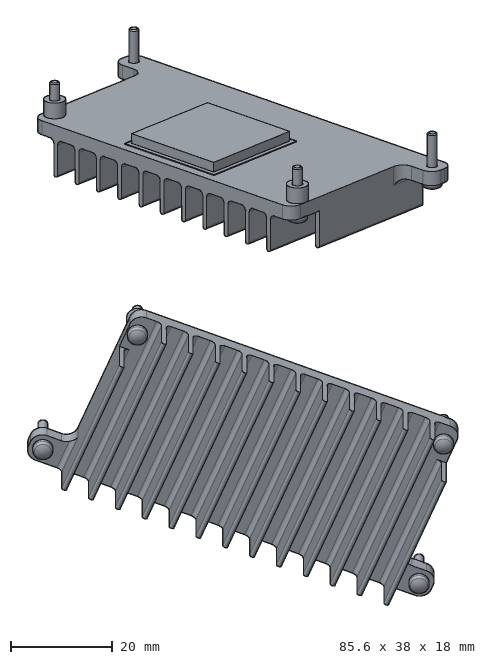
import cadquery as cq
import math

OVERALL_WIDTH = 85.6
DEPTH = 38.0
PLATE_THICKNESS = 3.0
TAB_DEPTH = 6.0
PLAN_RADIUS = 2.5

FIN_COUNT = 13
FIN_SPAN = 68.5
FIN_THICKNESS = 1.0
FIN_HEIGHT = 8.0
FIN_ROOT_RADIUS = 1.0
FIN_NOTCH_DEPTH = 8.0

LAND_SIZE = 24.0
LAND_HEIGHT = 0.2
PAD_SIZE = 22.0
PAD_THICKNESS = 2.05
PAD_CENTRE_Y = -5.0

SHANK_DIAMETER = 2.0
HOLE_DIAMETER = 2.1
SHANK_TIP_CHAMFER = 0.25
SHANK_PROTRUSION = 7.0
HEAD_DIAMETER = 4.0
HEAD_RIM_HEIGHT = 1.1
HEAD_HEIGHT = 1.8
HEAD_EDGE_RADIUS = 0.7
STANDOFF_DIAMETER = 4.4
STANDOFF_HEIGHT = 3.3
REAR_SCREW_X = 40.0
FRONT_SCREW_X = 32.5
SCREW_SPACING_Y = 31.0

FIN_PITCH = FIN_SPAN / (FIN_COUNT - 1)
BODY_WIDTH = FIN_SPAN + FIN_THICKNESS
REAR_SCREW_Y = (DEPTH - TAB_DEPTH) / 2
FRONT_SCREW_Y = REAR_SCREW_Y - SCREW_SPACING_Y
REAR_SCREWS = [(side * REAR_SCREW_X, REAR_SCREW_Y) for side in (-1, 1)]
FRONT_SCREWS = [(side * FRONT_SCREW_X, FRONT_SCREW_Y) for side in (-1, 1)]


def plan_prism(bottom_z, top_z):
    """Plate outline with every corner rounded, between two heights."""
    height = top_z - bottom_z
    body = cq.Workplane("XY", origin=(0, 0, bottom_z)).rect(BODY_WIDTH, DEPTH).extrude(height)
    tabs = (
        cq.Workplane("XY", origin=(0, (DEPTH - TAB_DEPTH) / 2, bottom_z))
        .rect(OVERALL_WIDTH, TAB_DEPTH)
        .extrude(height)
    )
    return body.union(tabs).edges("|Z").fillet(PLAN_RADIUS)


def make_fin(x):
    """One fin with a fully rounded tip and a concave flare on each side of its root."""
    half = FIN_THICKNESS / 2
    flare = half + FIN_ROOT_RADIUS
    root_mid = FIN_ROOT_RADIUS * (1 - math.sqrt(0.5))
    return (
        cq.Workplane("XZ", origin=(x, DEPTH / 2, 0))
        .moveTo(-flare, 0)
        .threePointArc((-half - root_mid, -root_mid), (-half, -FIN_ROOT_RADIUS))
        .lineTo(-half, half - FIN_HEIGHT)
        .threePointArc((0, -FIN_HEIGHT), (half, half - FIN_HEIGHT))
        .lineTo(half, -FIN_ROOT_RADIUS)
        .threePointArc((half + root_mid, -root_mid), (flare, 0))
        .close()
        .extrude(DEPTH)
    )


def make_outer_fin(side):
    """Outermost fin, cut short at the front and trimmed to the plate outline."""
    x = side * FIN_SPAN / 2
    notch = (
        cq.Workplane("XY", origin=(x, (FIN_NOTCH_DEPTH - DEPTH) / 2, -FIN_HEIGHT))
        .rect(FIN_PITCH, FIN_NOTCH_DEPTH)
        .extrude(FIN_HEIGHT)
    )
    return make_fin(x).cut(notch).intersect(plan_prism(-FIN_HEIGHT, 0))


def make_heatsink():
    """Finned plate with the land, the two standoffs and the four screw holes."""
    heatsink = plan_prism(0, PLATE_THICKNESS)
    for index in range(1, FIN_COUNT - 1):
        heatsink = heatsink.union(make_fin(index * FIN_PITCH - FIN_SPAN / 2))
    for side in (-1, 1):
        heatsink = heatsink.union(make_outer_fin(side))

    land = (
        cq.Workplane("XY", origin=(0, PAD_CENTRE_Y, PLATE_THICKNESS))
        .rect(LAND_SIZE, LAND_SIZE)
        .extrude(LAND_HEIGHT)
    )
    standoffs = (
        cq.Workplane("XY", origin=(0, 0, PLATE_THICKNESS))
        .pushPoints(FRONT_SCREWS)
        .circle(STANDOFF_DIAMETER / 2)
        .extrude(STANDOFF_HEIGHT)
    )
    holes = (
        cq.Workplane("XY")
        .pushPoints(REAR_SCREWS + FRONT_SCREWS)
        .circle(HOLE_DIAMETER / 2)
        .extrude(PLATE_THICKNESS + STANDOFF_HEIGHT)
    )
    return heatsink.union(land).union(standoffs).cut(holes)


def make_pad():
    """Square thermal pad resting on the land."""
    return (
        cq.Workplane("XY", origin=(0, PAD_CENTRE_Y, PLATE_THICKNESS + LAND_HEIGHT))
        .rect(PAD_SIZE, PAD_SIZE)
        .extrude(PAD_THICKNESS)
    )


def make_screw(x, y):
    """Screw pushed up through the plate, with its round-edged domed head against the underside."""
    head_radius = HEAD_DIAMETER / 2
    shank_radius = SHANK_DIAMETER / 2
    tip_z = PLATE_THICKNESS + SHANK_PROTRUSION
    dome_height = HEAD_HEIGHT - HEAD_RIM_HEIGHT
    dome_radius = (head_radius**2 + dome_height**2) / (2 * dome_height)
    dome_mid_x = head_radius / 2
    dome_mid_z = dome_radius - HEAD_HEIGHT - math.sqrt(dome_radius**2 - dome_mid_x**2)
    half_section = (
        cq.Workplane("XZ")
        .moveTo(0, -HEAD_HEIGHT)
        .threePointArc((dome_mid_x, dome_mid_z), (head_radius, -HEAD_RIM_HEIGHT))
        .lineTo(head_radius, 0)
        .lineTo(shank_radius, 0)
        .lineTo(shank_radius, tip_z - SHANK_TIP_CHAMFER)
        .lineTo(shank_radius - SHANK_TIP_CHAMFER, tip_z)
        .lineTo(0, tip_z)
        .close()
    )
    screw = half_section.revolve(360, (0, 0, 0), (0, 1, 0))
    rim_edge = cq.selectors.NearestToPointSelector((0, 0, -HEAD_RIM_HEIGHT))
    screw = screw.edges("%CIRCLE").edges(rim_edge).fillet(HEAD_EDGE_RADIUS)
    return screw.translate((x, y, 0))


heatsink = make_heatsink()
pad = make_pad()
screws = [make_screw(x, y) for x, y in REAR_SCREWS + FRONT_SCREWS]

result = cq.Compound.makeCompound([heatsink.val(), pad.val(), *[screw.val() for screw in screws]])